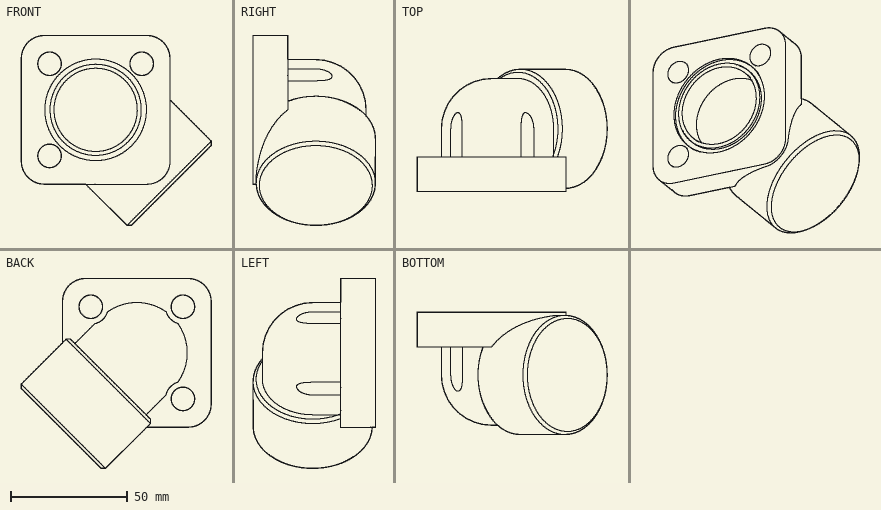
import cadquery as cq
import math

flange_side = 64.0
flange_thickness = 15.0
flange_corner_radius = 10.0

bolt_circle_diameter = 56.0
bolt_hole_diameter = 10.0
bolt_head_clearance_diameter = 15.0
bolt_angles = (45.0, 135.0, 225.0)

bore_diameter = 35.8
bore_depth = 13.5
groove_inner_diameter = 39.2
groove_outer_diameter = 43.7
groove_depth = 1.5

elbow_radius = 21.65
elbow_center_y = 27.0

collar_wall_step = 4.0
collar_radius = elbow_radius + collar_wall_step
collar_start = 16.0
collar_length = 30.0
collar_chamfer = 1.35

outlet_angle = 45.0
outlet_direction = cq.Vector(
    math.cos(math.radians(outlet_angle)), 0, -math.sin(math.radians(outlet_angle))
)
elbow_center = cq.Vector(0, elbow_center_y, 0)


def cylinder_along_y(diameter, start_y, length, x=0.0, z=0.0):
    """Solid cylinder parallel to Y, starting at start_y."""
    solid = cq.Solid.makeCylinder(diameter / 2, length, cq.Vector(x, start_y, z), cq.Vector(0, 1, 0))
    return cq.Workplane(solid)


def make_flange():
    """Square plate with rounded corners."""
    return (
        cq.Workplane("XY")
        .box(flange_side, flange_thickness, flange_side)
        .edges("|Y")
        .fillet(flange_corner_radius)
        .translate((0, flange_thickness / 2, 0))
    )


def make_elbow():
    """Round riser closed by a spherical dome, with the outlet neck on one side."""
    dome_middle = elbow_radius * math.sqrt(0.5)
    riser_and_dome = (
        cq.Workplane("XY")
        .lineTo(elbow_radius, 0)
        .lineTo(elbow_radius, elbow_center_y)
        .threePointArc((dome_middle, elbow_center_y + dome_middle), (0, elbow_center_y + elbow_radius))
        .close()
        .revolve(360, (0, 0, 0), (0, 1, 0))
    )
    return riser_and_dome.union(make_outlet_neck())


def make_outlet_neck():
    """Arched neck from the elbow to the collar, with flat sides running down to the flange."""
    return (
        cq.Workplane("YZ")
        .moveTo(0, -elbow_radius)
        .lineTo(elbow_center_y, -elbow_radius)
        .threePointArc((elbow_center_y + elbow_radius, 0), (elbow_center_y, elbow_radius))
        .lineTo(0, elbow_radius)
        .close()
        .extrude(collar_start)
        .rotate((0, 0, 0), (0, 1, 0), outlet_angle)
    )


def make_collar():
    """Larger outlet end, chamfered on both rims."""
    base = elbow_center + outlet_direction * collar_start
    collar = cq.Solid.makeCylinder(collar_radius, collar_length, base, outlet_direction)
    return cq.Workplane(collar).edges("%CIRCLE").chamfer(collar_chamfer)


def bolt_position(angle):
    """X and Z of a bolt axis on the bolt circle."""
    radius = bolt_circle_diameter / 2
    radians = math.radians(angle)
    return radius * math.cos(radians), radius * math.sin(radians)


def bolt_pattern(diameter, start_y, length):
    """One cylinder along Y at every bolt position."""
    cylinders = cq.Workplane("XY")
    for angle in bolt_angles:
        x, z = bolt_position(angle)
        cylinders = cylinders.add(cylinder_along_y(diameter, start_y, length, x, z))
    return cylinders.combine()


def make_head_clearance():
    """Room for the bolt heads, cut into the elbow behind the flange."""
    length = elbow_center_y + elbow_radius - flange_thickness
    return bolt_pattern(bolt_head_clearance_diameter, flange_thickness, length)


def make_bolt_holes():
    """Through holes in the flange."""
    return bolt_pattern(bolt_hole_diameter, 0, flange_thickness)


def make_inlet_bore():
    """Flat-bottomed blind bore in the flange face."""
    return cylinder_along_y(bore_diameter, 0, bore_depth)


def make_seal_groove():
    """Ring cutter for the groove in the flange face."""
    outer = cylinder_along_y(groove_outer_diameter, 0, groove_depth)
    return outer.cut(cylinder_along_y(groove_inner_diameter, 0, groove_depth))


result = (
    make_flange()
    .union(make_elbow())
    .union(make_collar())
    .cut(make_head_clearance())
    .cut(make_bolt_holes())
    .cut(make_seal_groove())
    .cut(make_inlet_bore())
)